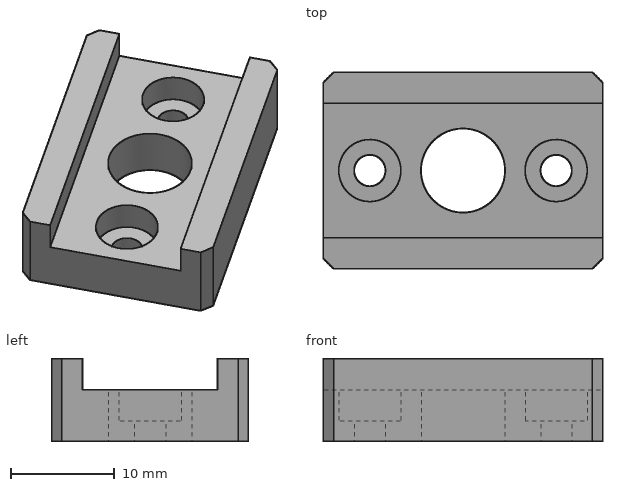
import cadquery as cq

length = 27.0
width = 19.0
height = 8.0
corner_chamfer = 1.0

channel_width = 13.0
channel_depth = 3.0
floor_height = height - channel_depth

center_hole_diameter = 8.1
screw_hole_diameter = 3.0
screw_spacing = 18.0
counterbore_diameter = 6.0
counterbore_depth = 3.0


def make_block():
    """Block centred in X and Y, base on Z = 0, with chamfered vertical corners."""
    block = cq.Workplane("XY").box(length, width, height, centered=(True, True, False))
    return block.edges("|Z").chamfer(corner_chamfer)


def cut_channel(body):
    """Cut the full-length channel, leaving a rail along each long side."""
    channel = (
        cq.Workplane("XY")
        .workplane(offset=floor_height)
        .rect(length, channel_width)
        .extrude(channel_depth)
    )
    return body.cut(channel)


def cut_center_hole(body):
    """Cut the large through hole at the centre of the channel floor."""
    hole = cq.Workplane("XY").circle(center_hole_diameter / 2).extrude(floor_height)
    return body.cut(hole)


def cut_screw_holes(body):
    """Cut the two counterbored screw holes on the channel's centreline."""
    return (
        body.copyWorkplane(cq.Workplane("XY", origin=(0, 0, floor_height)))
        .pushPoints([(-screw_spacing / 2, 0), (screw_spacing / 2, 0)])
        .cboreHole(screw_hole_diameter, counterbore_diameter, counterbore_depth)
    )


result = make_block()
result = cut_channel(result)
result = cut_center_hole(result)
result = cut_screw_holes(result)